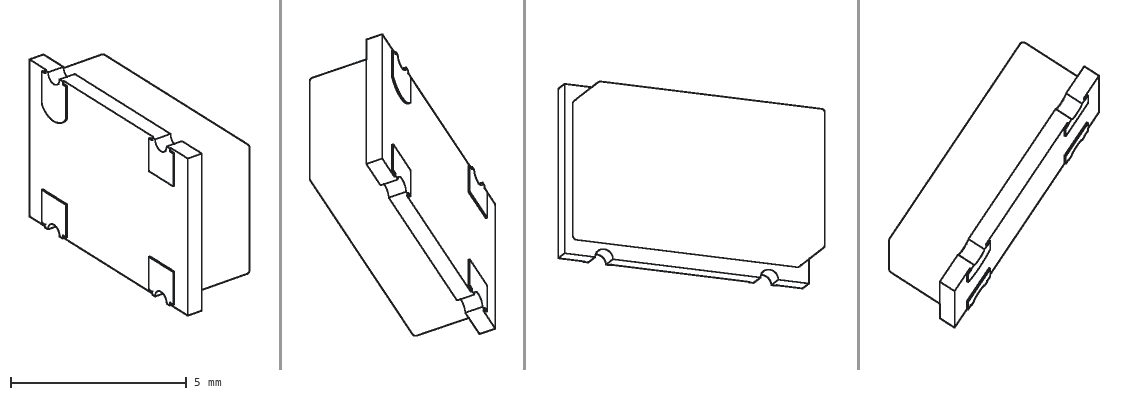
import cadquery as cq

plate_length = 7.5
plate_height = 5.08
plate_thickness = 0.5

cover_length = 6.99
cover_height = 4.185
cover_depth = 1.95
cover_edge_radius = 0.11

pad_offset_x = 2.535
pad_width = 1.155
pad_reach = 1.155
marked_pad_reach = 1.47
pad_thickness = 0.045
pad_edge_gap = 0.1
pad_neck_width = 0.83
notch_radius = 0.27

half_height = plate_height / 2
half_pad = pad_width / 2
half_neck = pad_neck_width / 2


def make_plate():
    return cq.Workplane("XY").box(
        plate_length, plate_thickness, plate_height, centered=(True, False, True)
    )


def make_cover():
    cover = cq.Workplane("XY").box(
        cover_length, cover_depth, cover_height, centered=(True, False, True)
    )
    cover = cover.edges("|Y or >Y").fillet(cover_edge_radius)
    return cover.translate((0, plate_thickness, 0))


def make_pad(x, side, round_end):
    """Pad at the top (side = 1) or bottom (side = -1) edge, with a neck reaching that edge."""
    edge = side * half_height
    shoulder = side * (half_height - pad_edge_gap)
    inner = side * (half_height - pad_reach)
    crown = side * (half_height - marked_pad_reach)

    outline = (
        cq.Workplane("XZ")
        .moveTo(x - half_neck, edge)
        .lineTo(x - half_neck, shoulder)
        .lineTo(x - half_pad, shoulder)
        .lineTo(x - half_pad, inner)
    )
    if round_end:
        outline = outline.threePointArc((x, crown), (x + half_pad, inner))
    else:
        outline = outline.lineTo(x + half_pad, inner)
    return (
        outline.lineTo(x + half_pad, shoulder)
        .lineTo(x + half_neck, shoulder)
        .lineTo(x + half_neck, edge)
        .close()
        .extrude(pad_thickness)
    )


def make_notch(x, side):
    """Cutter running through the pad and the plate, but not into the cover."""
    return (
        cq.Workplane("XZ", origin=(0, plate_thickness, 0))
        .center(x, side * half_height)
        .circle(notch_radius)
        .extrude(plate_thickness + pad_thickness)
    )


result = make_plate().union(make_cover())
for side in (-1, 1):
    for x in (-pad_offset_x, pad_offset_x):
        is_marked = side > 0 and x < 0
        result = result.union(make_pad(x, side, is_marked))
        result = result.cut(make_notch(x, side))